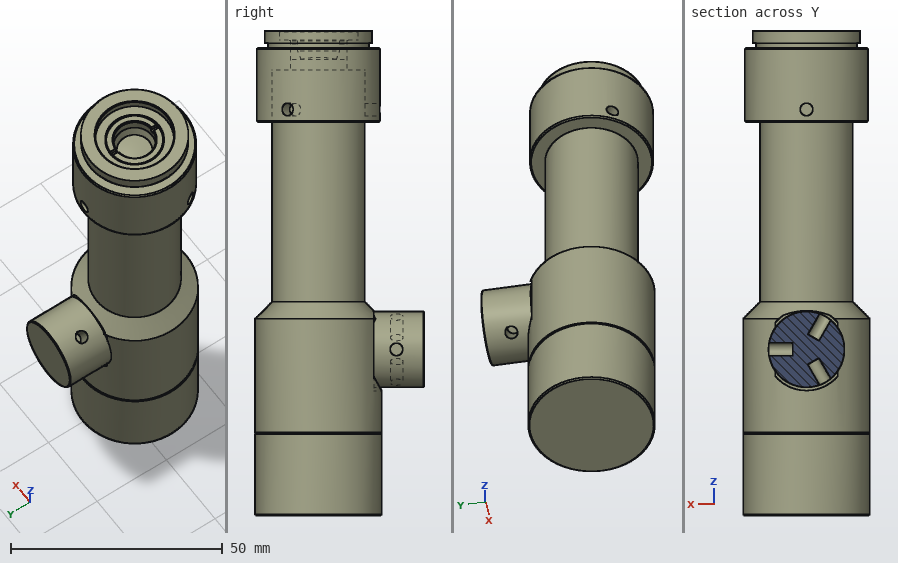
import cadquery as cq
import math

total_height = 114.6
edge_chamfer = 0.3

body_dia = 30.0
base_height = 19.5
joint_chamfer = 0.2
cone_start_z = 46.5
tube_dia = 22.0
cone_end_z = cone_start_z + (body_dia - tube_dia) / 2

collar_dia = 29.2
collar_bottom_z = 93.1
collar_top_z = 110.6
neck_dia = 24.0
flange_dia = 25.5
flange_height = 2.9
recess_dia = 18.6
recess_rim_dia = 19.0
recess_depth = 2.1

ring_dia = 13.4
ring_seat_rim_dia = 14.0
ring_bore_dia = 10.0
ring_bore_rim_dia = 10.5
ring_bore_depth = 2.6
ring_aperture_dia = 8.4
ring_height = 4.6
ring_slot_width = 1.0
ring_slot_depth = 1.0
lens_rim_height = 2.5
lens_crown_height = 0.5
ring_top_z = total_height - recess_depth
ring_bottom_z = ring_top_z - ring_height
tube_top_z = ring_bottom_z - lens_rim_height

port_dia = 18.0
port_length = 11.9
port_seat_y = 13.1
port_seat_dia = 19.5
port_axis_z = 39.3
port_end_y = port_seat_y + port_length

screw_hole_dia = 3.0
screw_count = 3
collar_screw_z = 96.0
collar_screw_start_angle = 90
port_screw_y = 18.5
port_screw_depth = 5.7


def cylinder(diameter, bottom_z, top_z):
    """Cylinder on the main axis between two heights."""
    return cq.Workplane("XY").workplane(offset=bottom_z).circle(diameter / 2).extrude(top_z - bottom_z)


def funnel(bottom_dia, top_dia, bottom_z, top_z):
    """Cone frustum on the main axis between two heights."""
    cone = cq.Solid.makeCone(bottom_dia / 2, top_dia / 2, top_z - bottom_z, cq.Vector(0, 0, bottom_z))
    return cq.Workplane(cone)


def rim_chamfer(hole_dia, rim_dia, top_z):
    """45 degree cutter that widens a hole to its rim diameter."""
    depth = (rim_dia - hole_dia) / 2
    return funnel(hole_dia, rim_dia, top_z - depth, top_z)


def radial_hole(outer_dia, depth, angle):
    """Cutter in the XY plane that goes from an outer surface toward the axis."""
    inner_radius = outer_dia / 2 - depth
    direction = cq.Vector(math.cos(math.radians(angle)), math.sin(math.radians(angle)), 0)
    length = depth + screw_hole_dia
    return cq.Workplane(cq.Solid.makeCylinder(screw_hole_dia / 2, length, direction * inner_radius, direction))


def make_base():
    base = cylinder(body_dia, 0, base_height)
    base = base.faces("<Z").chamfer(edge_chamfer)
    return base.faces(">Z").chamfer(joint_chamfer)


def make_body():
    """Barrel, shoulder cone and tube, with a flat seat for the side port."""
    barrel = cylinder(body_dia, base_height, cone_start_z).faces("<Z").chamfer(joint_chamfer)
    shoulder = funnel(body_dia, tube_dia, cone_start_z, cone_end_z)
    tube = cylinder(tube_dia, cone_end_z, tube_top_z)
    seat_cutter = cq.Workplane(
        cq.Solid.makeCylinder(
            port_seat_dia / 2, port_length, cq.Vector(0, port_seat_y, port_axis_z), cq.Vector(0, 1, 0)
        )
    )
    return barrel.union(shoulder).union(tube).cut(seat_cutter)


def make_collar():
    """Collar that slips over the tube, with an undercut flange on top."""
    collar = cylinder(collar_dia, collar_bottom_z, collar_top_z).faces("<Z or >Z").chamfer(edge_chamfer)
    flange_bottom_z = total_height - flange_height
    collar = collar.union(cylinder(neck_dia, collar_top_z, flange_bottom_z))
    collar = collar.union(cylinder(flange_dia, flange_bottom_z, total_height))
    collar = collar.cut(cylinder(tube_dia, collar_bottom_z, tube_top_z))
    collar = collar.cut(cylinder(ring_dia, tube_top_z, ring_top_z))
    collar = collar.cut(rim_chamfer(ring_dia, ring_seat_rim_dia, ring_top_z))
    collar = collar.cut(cylinder(recess_dia, ring_top_z, total_height))
    collar = collar.cut(rim_chamfer(recess_dia, recess_rim_dia, total_height))
    wall = (collar_dia - tube_dia) / 2
    for i in range(screw_count):
        angle = collar_screw_start_angle + i * 360 / screw_count
        hole = radial_hole(collar_dia, wall, angle).translate((0, 0, collar_screw_z))
        collar = collar.cut(hole)
    return collar


def make_ring():
    """Retaining ring with a stepped, tapering bore and a driver slot across its top."""
    bore_step_z = ring_top_z - ring_bore_depth
    ring = cylinder(ring_dia, ring_bottom_z, ring_top_z)
    ring = ring.cut(cylinder(ring_bore_dia, bore_step_z, ring_top_z))
    ring = ring.cut(rim_chamfer(ring_bore_dia, ring_bore_rim_dia, ring_top_z))
    ring = ring.cut(funnel(ring_aperture_dia, ring_bore_dia, ring_bottom_z, bore_step_z))
    slot = cq.Workplane("XY").box(ring_slot_width, ring_dia, 2 * ring_slot_depth)
    return ring.cut(slot.translate((0, 0, ring_top_z)))


def make_lens():
    """Disc with a shallow spherical crown inside the ring aperture."""
    crown_top_z = ring_bottom_z + lens_crown_height
    half_aperture = ring_aperture_dia / 2
    crown_radius = (half_aperture**2 + lens_crown_height**2) / (2 * lens_crown_height)
    mid_x = half_aperture / 2
    mid_z = crown_top_z - crown_radius + math.sqrt(crown_radius**2 - mid_x**2)
    profile = (
        cq.Workplane("XZ")
        .moveTo(0, tube_top_z)
        .lineTo(ring_dia / 2, tube_top_z)
        .lineTo(ring_dia / 2, ring_bottom_z)
        .lineTo(half_aperture, ring_bottom_z)
        .threePointArc((mid_x, mid_z), (0, crown_top_z))
        .close()
    )
    return profile.revolve(360, (0, 0, 0), (0, 1, 0))


def make_port():
    """Side port, modelled upright and then laid along +Y."""
    port = cylinder(port_dia, port_seat_y, port_end_y).faces(">Z").chamfer(joint_chamfer)
    for i in range(screw_count):
        hole = radial_hole(port_dia, port_screw_depth, i * 360 / screw_count)
        port = port.cut(hole.translate((0, 0, port_screw_y)))
    port = port.rotate((0, 0, 0), (1, 0, 0), -90)
    return port.translate((0, 0, port_axis_z))


base = make_base()
body = make_body()
collar = make_collar()
ring = make_ring()
lens = make_lens()
port = make_port()

result = cq.Compound.makeCompound(
    [base.val(), body.val(), collar.val(), ring.val(), lens.val(), port.val()]
)